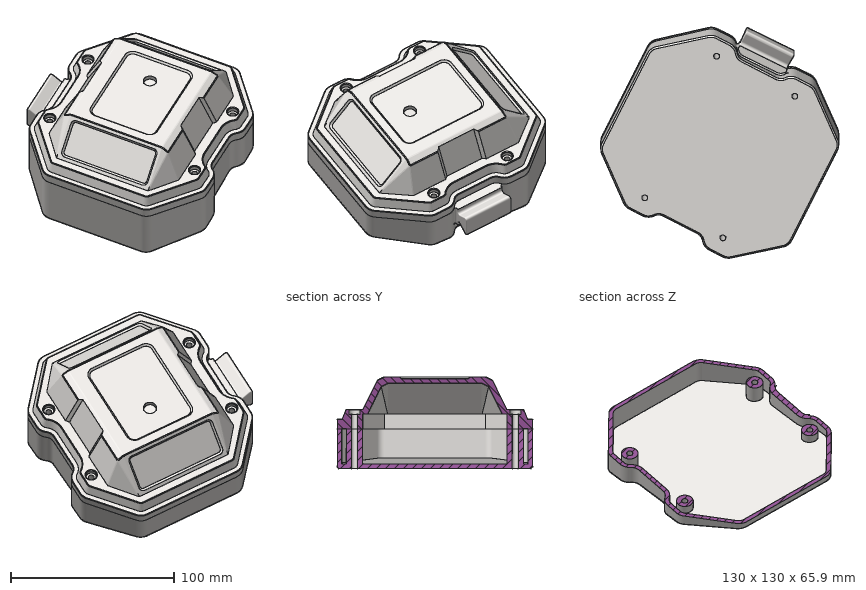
import cadquery as cq
import math


OVERALL_X = 130.0
WIDTH = 120.0
LENGTH = 130.0
HALF_WIDTH = WIDTH / 2
HALF_LENGTH = LENGTH / 2
CORNER_X = 35.0
CORNER_Y = 34.7
CORNER_RADIUS = 8.0
NOTCH_DEPTH = 5.7
NOTCH_START_Y = 23.0
NOTCH_END_Y = 11.6
NOTCH_X = HALF_WIDTH - NOTCH_DEPTH

BEVEL_ANGLE = 45.0

WALL = 3.0
ROOF = 4.0

FLOOR_ANGLE = 6.0
LOWEST_Z = -34.0
BOTTOM_CHAMFER = 1.0
BLANK_DEPTH = 39.0

SHOULDER_Z = 6.1
FLANGE_Z = 12.1
TOP_Z = 32.0
FLANGE_INSET = 3.1
FLANGE_TAPER_WIDTH = 2.3
EDGE_CHAMFER = 0.4

RIDGE_X = 31.2
RIDGE_Y = 34.8
SIDE_FOOT = (44.2, 38.4, FLANGE_Z)
END_FOOT = (RIDGE_X, RIDGE_Y + TOP_Z - FLANGE_Z, FLANGE_Z)
SHOULDER = (35.4, 35.1, TOP_Z - 2.1)
RIDGE = (RIDGE_X, RIDGE_Y, TOP_Z)
DOME_CHAMFER = 0.4

RECESS_DEPTH = 1.7
RECESS_MOUTH_HALF = 14.8
RECESS_FLOOR_HALF = 12.7

POCKET_DEPTH = 1.2
TOP_POCKET_WIDTH = 45.4
TOP_POCKET_LENGTH = 58.5
TOP_POCKET_RADIUS = 5.5
END_POCKET_WIDTH = 58.5
END_POCKET_BOTTOM_Z = 13.6
END_POCKET_TOP_Z = 30.3
END_POCKET_RADIUS = 3.0

TOP_HOLE_D = 8.0
TOP_HOLE_Y = 12.2

SCREW_X = 49.3
SCREW_Y = 26.8
SCREW_HOLE_D = 3.5
HEAD_D = 6.5
HEAD_RIM_D = 7.5
HEAD_DEPTH = 3.1
BOSS_D = 10.4

TAB_TIP_X = HALF_WIDTH - OVERALL_X
TAB_FACE_X = -60.0
TAB_ROOT_X = -52.0
TAB_SLOPE_X = -68.0
TAB_HEIGHT = 15.2
TAB_HALF_WIDTH = 16.2
TAB_NECK_CUT = 4.8
TAB_TIP_RADIUS = 1.3
TAB_NECK_RADIUS = 1.5
TAB_ROOT_RADIUS = 1.0
TAB_END_RADIUS = 0.6

SIGNS = (1, -1)
SCREW_POINTS = [(sx * SCREW_X, sy * SCREW_Y) for sx in SIGNS for sy in SIGNS]


def corner_points():
    """Tangent and middle points of the two rounds on the +X +Y corner, from +Y round to +X."""
    slope = math.atan2(HALF_LENGTH - CORNER_Y, HALF_WIDTH - CORNER_X)
    rounds = []
    for vertex, start, turn in (
        ((CORNER_X, HALF_LENGTH), math.pi / 2, slope),
        ((HALF_WIDTH, CORNER_Y), math.pi / 2 - slope, math.pi / 2 - slope),
    ):
        middle = start - turn / 2
        reach = CORNER_RADIUS / math.cos(turn / 2)
        cx = vertex[0] - reach * math.cos(middle)
        cy = vertex[1] - reach * math.sin(middle)
        rounds.append([
            (cx + CORNER_RADIUS * math.cos(a), cy + CORNER_RADIUS * math.sin(a))
            for a in (start, middle, start - turn)
        ])
    return rounds


def mirrored(points, sx, sy):
    """Points moved to the corner with the given signs of X and Y."""
    return [(sx * x, sy * y) for x, y in points]


def outline(inset=0.0):
    """Closed housing outline in the seam plane, moved inwards by `inset`."""
    end_round, side_round = corner_points()
    notch_turn = 2 * math.atan2(NOTCH_DEPTH, NOTCH_START_Y - NOTCH_END_Y)
    swing_x = HALF_WIDTH - CORNER_RADIUS * (1 - math.cos(notch_turn))
    swing_y = NOTCH_START_Y - CORNER_RADIUS * math.sin(notch_turn)

    sketch = cq.Workplane("XY").moveTo(*mirrored(end_round, -1, 1)[0])
    for sx, sy in ((1, 1), (1, -1), (-1, -1), (-1, 1)):
        if sx == sy:
            for start, middle, finish in (mirrored(r, sx, sy) for r in (end_round, side_round)):
                sketch = sketch.lineTo(*start).threePointArc(middle, finish)
            sketch = sketch.lineTo(sx * HALF_WIDTH, sy * NOTCH_START_Y)
            sketch = sketch.tangentArcPoint((sx * swing_x, sy * swing_y), relative=False)
            sketch = sketch.tangentArcPoint((sx * NOTCH_X, sy * NOTCH_END_Y), relative=False)
        else:
            sketch = sketch.lineTo(sx * NOTCH_X, sy * NOTCH_END_Y)
            sketch = sketch.tangentArcPoint((sx * swing_x, sy * swing_y), relative=False)
            sketch = sketch.tangentArcPoint((sx * HALF_WIDTH, sy * NOTCH_START_Y), relative=False)
            for finish, middle, start in (mirrored(r, sx, sy) for r in (side_round, end_round)):
                sketch = sketch.lineTo(*start).threePointArc(middle, finish)
    sketch = sketch.close()
    return sketch.offset2D(-inset) if inset else sketch


def above_slope(lowest_z):
    """Space over a plane that starts at `lowest_z` on the -Y edge and rises to +Y."""
    rise = LENGTH * math.tan(math.radians(FLOOR_ANGLE))
    return (
        cq.Workplane("YZ")
        .polyline([
            (-HALF_LENGTH, lowest_z),
            (HALF_LENGTH, lowest_z + rise),
            (HALF_LENGTH, 0),
            (-HALF_LENGTH, 0),
        ])
        .close()
        .extrude(HALF_WIDTH, both=True)
    )


def screw_cylinders(diameter, bottom_z, top_z):
    """One upright cylinder at each screw position."""
    return (
        cq.Workplane("XY", origin=(0, 0, bottom_z))
        .pushPoints(SCREW_POINTS)
        .circle(diameter / 2)
        .extrude(top_z - bottom_z)
    )


def tab():
    """Dovetail bar that fills the -X notch and stands out from the side."""
    points = [
        (TAB_ROOT_X, 0),
        (TAB_FACE_X, 0),
        (TAB_FACE_X, -TAB_NECK_CUT),
        (TAB_SLOPE_X, 0),
        (TAB_TIP_X, 0),
        (TAB_TIP_X, -TAB_HEIGHT),
        (TAB_SLOPE_X, -TAB_HEIGHT),
        (TAB_FACE_X, TAB_NECK_CUT - TAB_HEIGHT),
        (TAB_FACE_X, -TAB_HEIGHT),
        (TAB_ROOT_X, -TAB_HEIGHT),
    ]
    bar = cq.Workplane("XZ").polyline(points).close().extrude(TAB_HALF_WIDTH, both=True)

    def long_edges(x, z):
        reach = 0.01
        return cq.selectors.BoxSelector(
            (x - reach, -TAB_HALF_WIDTH, z - reach), (x + reach, TAB_HALF_WIDTH, z + reach)
        )

    for x, depth, radius in (
        (TAB_FACE_X, TAB_NECK_CUT, TAB_NECK_RADIUS),
        (TAB_SLOPE_X, 0, TAB_TIP_RADIUS),
        (TAB_TIP_X, 0, TAB_TIP_RADIUS),
    ):
        for z in (-depth, depth - TAB_HEIGHT):
            bar = bar.edges(long_edges(x, z)).fillet(radius)
    return bar.faces("<X").edges("|Z").fillet(TAB_END_RADIUS)


def tab_root():
    """Concave webs beside the tab, and a sloped fillet below it, where it meets the notch wall."""
    strip = outline(-TAB_ROOT_RADIUS).extrude(-TAB_ROOT_RADIUS, taper=BEVEL_ANGLE)
    span = cq.Workplane("XY").box(WIDTH, 2 * TAB_HALF_WIDTH, TAB_HEIGHT).translate((-HALF_WIDTH, 0, 0))
    root = strip.intersect(span).translate((0, 0, -TAB_HEIGHT))

    arc_x = HALF_WIDTH - CORNER_RADIUS
    round_y = TAB_HALF_WIDTH + TAB_ROOT_RADIUS
    lean = math.asin((NOTCH_START_Y - round_y) / (CORNER_RADIUS + TAB_ROOT_RADIUS))
    round_x = arc_x + (CORNER_RADIUS + TAB_ROOT_RADIUS) * math.cos(lean)
    side_angle = math.pi - lean
    end_angle = 3 * math.pi / 2
    side, middle, end = (
        (-round_x - TAB_ROOT_RADIUS * math.cos(a), round_y + TAB_ROOT_RADIUS * math.sin(a))
        for a in (side_angle, (side_angle + end_angle) / 2, end_angle)
    )
    for sy in SIGNS:
        web = (
            cq.Workplane("XY")
            .moveTo(side[0], sy * side[1])
            .threePointArc((middle[0], sy * middle[1]), (end[0], sy * end[1]))
            .lineTo(-NOTCH_X, sy * TAB_HALF_WIDTH)
            .close()
            .extrude(-TAB_HEIGHT)
        )
        root = root.union(web)
    return root


def make_base():
    """Open tray with a sloped floor, four screw bosses and the tab."""
    body = outline().extrude(-BLANK_DEPTH).intersect(above_slope(LOWEST_Z))
    body = body.faces("<Z").chamfer(BOTTOM_CHAMFER)
    cavity = outline(WALL).extrude(-BLANK_DEPTH).intersect(above_slope(LOWEST_Z + WALL))
    bosses = screw_cylinders(BOSS_D, LOWEST_Z, 0).intersect(above_slope(LOWEST_Z + WALL))
    body = body.cut(cavity.cut(bosses))
    body = body.union(tab().union(tab_root()).cut(outline(WALL).extrude(LOWEST_Z)))
    return body.cut(screw_cylinders(SCREW_HOLE_D, LOWEST_Z, 0))


def dome(inward=(0.0, 0.0, 0.0)):
    """Flat-faced dome; `inward` moves every corner towards the centre line and down."""
    def corner(point, sx, sy):
        x, y, z = (value - step for value, step in zip(point, inward))
        return cq.Vector(sx * x, sy * y, z)

    def face(*points):
        return cq.Face.makeFromWires(cq.Wire.makePolygon(points, close=True))

    def ring(point):
        return [corner(point, sx, sy) for sx, sy in ((1, 1), (-1, 1), (-1, -1), (1, -1))]

    side_feet, end_feet, shoulders, ridges = (ring(p) for p in (SIDE_FOOT, END_FOOT, SHOULDER, RIDGE))
    faces = [face(*ridges)]
    foot_loop = []
    for i in range(4):
        foot_loop += [side_feet[i], end_feet[i]] if i % 2 == 0 else [end_feet[i], side_feet[i]]
        faces.append(face(side_feet[i], end_feet[i], shoulders[i]))
        faces.append(face(shoulders[i], end_feet[i], ridges[i]))
    faces.append(face(*foot_loop))
    for i, j in ((0, 1), (2, 3)):
        faces.append(face(end_feet[i], end_feet[j], ridges[j], ridges[i]))
    for i, j in ((1, 2), (3, 0)):
        faces.append(face(side_feet[i], side_feet[j], shoulders[j], shoulders[i]))
        faces.append(face(shoulders[i], shoulders[j], ridges[j], ridges[i]))
    solid = cq.Solid.makeSolid(cq.Shell.makeShell(faces))
    return cq.Workplane("XY").newObject([solid])


def side_recess(sx):
    """Cutter for the recess in one long side, leaning with that side."""
    height = TOP_Z - FLANGE_Z
    lean = (SIDE_FOOT[0] - SHOULDER[0]) / (SHOULDER[2] - FLANGE_Z)
    flare = (RECESS_MOUTH_HALF - RECESS_FLOOR_HALF) / RECESS_DEPTH
    overshoot = RECESS_DEPTH
    mouth_half = RECESS_MOUTH_HALF + flare * overshoot

    def section(z):
        side_x = SIDE_FOOT[0] - lean * (z - FLANGE_Z)
        floor_x = side_x - RECESS_DEPTH
        mouth_x = side_x + overshoot
        return [
            (sx * floor_x, RECESS_FLOOR_HALF),
            (sx * mouth_x, mouth_half),
            (sx * mouth_x, -mouth_half),
            (sx * floor_x, -RECESS_FLOOR_HALF),
        ]

    return (
        cq.Workplane("XY", origin=(0, 0, FLANGE_Z))
        .polyline(section(FLANGE_Z))
        .close()
        .workplane(offset=height)
        .polyline(section(TOP_Z))
        .close()
        .loft(ruled=True)
    )


def pocket(plane, width, length, radius):
    """Rounded rectangular pocket cutter that narrows into the material."""
    return (
        cq.Workplane(plane)
        .sketch()
        .rect(width, length)
        .vertices()
        .fillet(radius)
        .finalize()
        .extrude(-POCKET_DEPTH, taper=BEVEL_ANGLE)
    )


def end_pocket(sy):
    """Pocket cutter square to one sloping end face of the dome."""
    middle_z = (END_POCKET_BOTTOM_Z + END_POCKET_TOP_Z) / 2
    length = (END_POCKET_TOP_Z - END_POCKET_BOTTOM_Z) * math.sqrt(2)
    middle_y = RIDGE_Y + TOP_Z - middle_z
    plane = cq.Plane(origin=(0, sy * middle_y, middle_z), xDir=(1, 0, 0), normal=(0, sy, 1))
    return pocket(plane, END_POCKET_WIDTH, length, END_POCKET_RADIUS)


def lid_cavity():
    """Hollow under the flange and the dome, with the screw bosses left standing."""
    side_angle = math.atan2(SIDE_FOOT[0] - SHOULDER[0], SHOULDER[2] - FLANGE_Z)
    side_shift = ROOF * (1 - math.sin(side_angle)) / math.cos(side_angle)
    end_shift = ROOF * (math.sqrt(2) - 1)
    hollow_dome = dome((side_shift, end_shift, ROOF))
    flange_hollow = outline(FLANGE_INSET + FLANGE_TAPER_WIDTH + WALL).extrude(FLANGE_Z - WALL)
    bosses = screw_cylinders(BOSS_D, 0, FLANGE_Z - WALL)
    return flange_hollow.cut(bosses).union(hollow_dome)


def screw_seats():
    """Cutters for the screw heads, each with a 45 degree mouth at the flange."""
    mouths = (
        cq.Workplane("XY", origin=(0, 0, FLANGE_Z))
        .pushPoints(SCREW_POINTS)
        .circle(HEAD_RIM_D / 2)
        .extrude((HEAD_D - HEAD_RIM_D) / 2, taper=BEVEL_ANGLE)
    )
    return screw_cylinders(HEAD_D, FLANGE_Z - HEAD_DEPTH, FLANGE_Z).union(mouths)


def make_lid():
    """Hollow cover: rim, tapered flange and faceted dome."""
    rim = outline().extrude(SHOULDER_Z).faces(">Z").chamfer(EDGE_CHAMFER)
    flange_height = FLANGE_Z - SHOULDER_Z
    flange_taper = math.degrees(math.atan2(FLANGE_TAPER_WIDTH, flange_height))
    flange = outline(FLANGE_INSET).extrude(flange_height, taper=flange_taper).translate((0, 0, SHOULDER_Z))
    flange = flange.faces(">Z").chamfer(EDGE_CHAMFER)
    shell = dome().edges("not (<Z or |(0, 1, 1) or |(0, 1, -1))").chamfer(DOME_CHAMFER)
    for sx in SIGNS:
        shell = shell.cut(side_recess(sx))
    body = rim.union(flange).union(shell)

    body = body.cut(lid_cavity())
    top_plane = cq.Plane.XY(origin=(0, 0, TOP_Z))
    body = body.cut(pocket(top_plane, TOP_POCKET_WIDTH, TOP_POCKET_LENGTH, TOP_POCKET_RADIUS))
    for sy in SIGNS:
        body = body.cut(end_pocket(sy))
    body = body.cut(
        cq.Workplane("XY", origin=(0, TOP_HOLE_Y, TOP_Z)).circle(TOP_HOLE_D / 2).extrude(-2 * ROOF)
    )
    body = body.cut(screw_cylinders(SCREW_HOLE_D, 0, FLANGE_Z))
    return body.cut(screw_seats())


base = make_base()
lid = make_lid()
result = cq.Compound.makeCompound([base.val(), lid.val()])